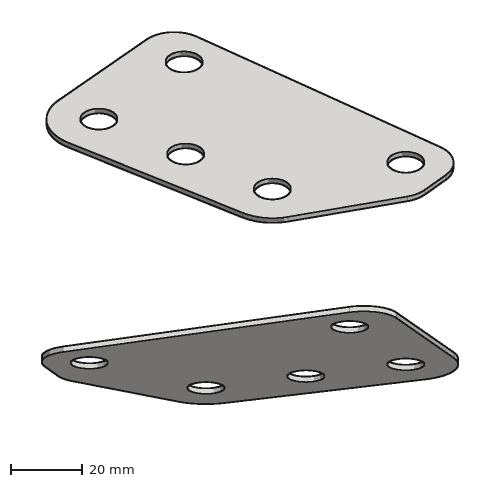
import cadquery as cq

thickness = 1.6
hole_diameter = 10.4
wide_corner_radius = 14.5
narrow_corner_radius = 10.0

corners = [
    (-54.9, 4.0, narrow_corner_radius),
    (-26.5, -54.2, wide_corner_radius),
    (45.6, -13.4, wide_corner_radius),
    (51.8, 31.5, narrow_corner_radius),
    (41.7, 51.6, narrow_corner_radius),
]

upper_holes = [(-36.0, -0.1), (35.7, 35.2)]

lower_left_hole = (-20.1, -33.8)
lower_right_hole = (32.1, -4.3)
lower_middle_hole = (
    (lower_left_hole[0] + lower_right_hole[0]) / 2,
    (lower_left_hole[1] + lower_right_hole[1]) / 2,
)
lower_holes = [lower_left_hole, lower_middle_hole, lower_right_hole]


def make_plate():
    """Extrude the sharp outline, then round each upright corner edge."""
    outline = [(x, y) for x, y, radius in corners]
    plate = cq.Workplane("XY").polyline(outline).close().extrude(thickness)
    for x, y, radius in corners:
        corner_edge = cq.selectors.NearestToPointSelector((x, y, thickness / 2))
        plate = plate.edges("|Z").edges(corner_edge).fillet(radius)
    return plate


def make_holes():
    """Cylinders that pass through the full thickness at every hole centre."""
    centres = upper_holes + lower_holes
    return cq.Workplane("XY").pushPoints(centres).circle(hole_diameter / 2).extrude(thickness)


result = make_plate().cut(make_holes())